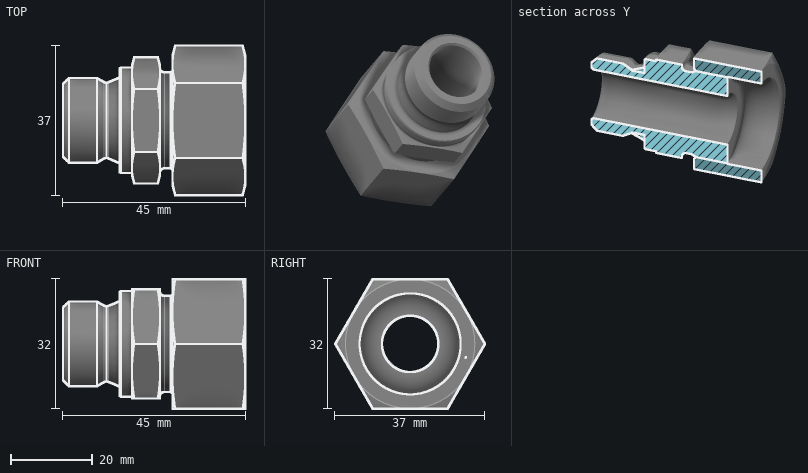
import cadquery as cq
import math


SHANK_CHAMFER_END = 1.55
RELIEF_BOTTOM = 10.7
COLLAR_START = 14.0
HEX_START = 17.0
HEX_END = 24.0
NECK_ARC_END = 25.0
NECK_END = 26.55
NUT_START = 27.0
NUT_END = 45.0
STUD_END = (NUT_START + NUT_END) / 2

BORE_RADIUS = 6.95
SHANK_TIP_RADIUS = 9.0
SHANK_RADIUS = 10.5
RELIEF_RADIUS = 9.3
SEAL_SEAT_RADIUS = 9.0
COLLAR_RADIUS = 13.05
NECK_RADIUS = 11.9
NUT_THREAD_RADIUS = 12.45
NUT_MOUTH_RADIUS = 13.0

HEX_ACROSS_FLATS = 27.0
NUT_ACROSS_FLATS = 32.0
HEX_CHAMFER_ANGLE = math.radians(15)
CHAMFER_INSET = 0.05

BORE_CHAMFER = 0.5
COLLAR_CHAMFER_LENGTH = 0.35
COLLAR_CHAMFER_DROP = 0.22
NECK_ARC_RADIUS = 1.12
NECK_CONE_ANGLE = math.radians(30)

RELIEF_ARC_RADIUS = 1.2
THREAD_RUNOUT_ANGLE = math.radians(30)
SEAL_CONE_ANGLE = math.radians(23)


def relief_arc_point(angle):
    """Point (x, radius) on the relief arc where its tangent has the given slope angle."""
    x = RELIEF_BOTTOM + RELIEF_ARC_RADIUS * math.sin(angle)
    radius = RELIEF_RADIUS + RELIEF_ARC_RADIUS * (1 - math.cos(angle))
    return x, radius


def neck_arc_point(angle):
    """Point (x, radius) on the neck arc at the given angle before its tangent end on the neck."""
    x = NECK_ARC_END - NECK_ARC_RADIUS * math.sin(angle)
    radius = NECK_RADIUS + NECK_ARC_RADIUS * (1 - math.cos(angle))
    return x, radius


def revolve_about_x(profile):
    """Close an (x, radius) profile and turn it about the X axis."""
    return profile.close().revolve(360, (0, 0, 0), (1, 0, 0))


def chamfered_hexagon(across_flats, start, end):
    """Hexagonal prism with flats facing +Z and -Z and conical chamfers at both ends."""
    corner_radius = across_flats / math.sqrt(3)
    end_radius = across_flats / 2 - CHAMFER_INSET
    chamfer_depth = (corner_radius - end_radius) * math.tan(HEX_CHAMFER_ANGLE)
    prism = cq.Workplane("YZ").workplane(offset=start).polygon(6, 2 * corner_radius).extrude(end - start)
    envelope = revolve_about_x(
        cq.Workplane("XY")
        .moveTo(start, 0)
        .lineTo(start, end_radius)
        .lineTo(start + chamfer_depth, corner_radius)
        .lineTo(end - chamfer_depth, corner_radius)
        .lineTo(end, end_radius)
        .lineTo(end, 0)
    )
    return prism.intersect(envelope)


def make_shank_and_collar():
    runout_x, runout_radius = relief_arc_point(-THREAD_RUNOUT_ANGLE)
    thread_end = runout_x - (SHANK_RADIUS - runout_radius) / math.tan(THREAD_RUNOUT_ANGLE)
    return revolve_about_x(
        cq.Workplane("XY")
        .moveTo(0, 0)
        .lineTo(0, SHANK_TIP_RADIUS)
        .lineTo(SHANK_CHAMFER_END, SHANK_RADIUS)
        .lineTo(thread_end, SHANK_RADIUS)
        .lineTo(runout_x, runout_radius)
        .threePointArc(relief_arc_point(-THREAD_RUNOUT_ANGLE / 2), (RELIEF_BOTTOM, RELIEF_RADIUS))
        .lineTo(RELIEF_BOTTOM, SEAL_SEAT_RADIUS)
        .lineTo(COLLAR_START, SEAL_SEAT_RADIUS)
        .lineTo(COLLAR_START, COLLAR_RADIUS - COLLAR_CHAMFER_DROP)
        .lineTo(COLLAR_START + COLLAR_CHAMFER_LENGTH, COLLAR_RADIUS)
        .lineTo(HEX_START, COLLAR_RADIUS)
        .lineTo(HEX_START, 0)
    )


def make_neck_and_nut_end():
    """Neck behind the hexagon, widened by a short cone to fill the nut bore."""
    arc_angle = math.asin((NECK_ARC_END - HEX_END) / NECK_ARC_RADIUS)
    arc_start = neck_arc_point(arc_angle)
    cone_end = NECK_END + (NUT_THREAD_RADIUS - NECK_RADIUS) / math.tan(NECK_CONE_ANGLE)
    arc_middle = neck_arc_point(arc_angle / 2)
    return revolve_about_x(
        cq.Workplane("XY")
        .moveTo(HEX_END, 0)
        .lineTo(*arc_start)
        .threePointArc(arc_middle, (NECK_ARC_END, NECK_RADIUS))
        .lineTo(NECK_END, NECK_RADIUS)
        .lineTo(cone_end, NUT_THREAD_RADIUS)
        .lineTo(STUD_END, NUT_THREAD_RADIUS)
        .lineTo(STUD_END, 0)
    )


def make_bore():
    """Through bore with a chamfered mouth at the shank tip."""
    return revolve_about_x(
        cq.Workplane("XY")
        .moveTo(0, 0)
        .lineTo(0, BORE_RADIUS + BORE_CHAMFER)
        .lineTo(BORE_CHAMFER, BORE_RADIUS)
        .lineTo(STUD_END, BORE_RADIUS)
        .lineTo(STUD_END, 0)
    )


def make_stud():
    hexagon = chamfered_hexagon(HEX_ACROSS_FLATS, HEX_START, HEX_END)
    return make_shank_and_collar().union(hexagon).union(make_neck_and_nut_end()).cut(make_bore())


def make_seal():
    """Wedge-shaped ring seated on the shank against the collar face."""
    cone_x, cone_radius = relief_arc_point(SEAL_CONE_ANGLE)
    back_radius = cone_radius + (COLLAR_START - cone_x) * math.tan(SEAL_CONE_ANGLE)
    return revolve_about_x(
        cq.Workplane("XY")
        .moveTo(RELIEF_BOTTOM, SEAL_SEAT_RADIUS)
        .lineTo(RELIEF_BOTTOM, RELIEF_RADIUS)
        .threePointArc(relief_arc_point(SEAL_CONE_ANGLE / 2), (cone_x, cone_radius))
        .lineTo(COLLAR_START, back_radius)
        .lineTo(COLLAR_START, SEAL_SEAT_RADIUS)
    )


def make_nut():
    """Hexagonal nut with a straight bore and a 45-degree chamfer at the mouth around the neck."""
    mouth_chamfer = NUT_MOUTH_RADIUS - NUT_THREAD_RADIUS
    bore = revolve_about_x(
        cq.Workplane("XY")
        .moveTo(NUT_START, 0)
        .lineTo(NUT_START, NUT_MOUTH_RADIUS)
        .lineTo(NUT_START + mouth_chamfer, NUT_THREAD_RADIUS)
        .lineTo(NUT_END, NUT_THREAD_RADIUS)
        .lineTo(NUT_END, 0)
    )
    return chamfered_hexagon(NUT_ACROSS_FLATS, NUT_START, NUT_END).cut(bore)


stud = make_stud()
seal = make_seal()
nut = make_nut()

result = cq.Compound.makeCompound([stud.val(), seal.val(), nut.val()])